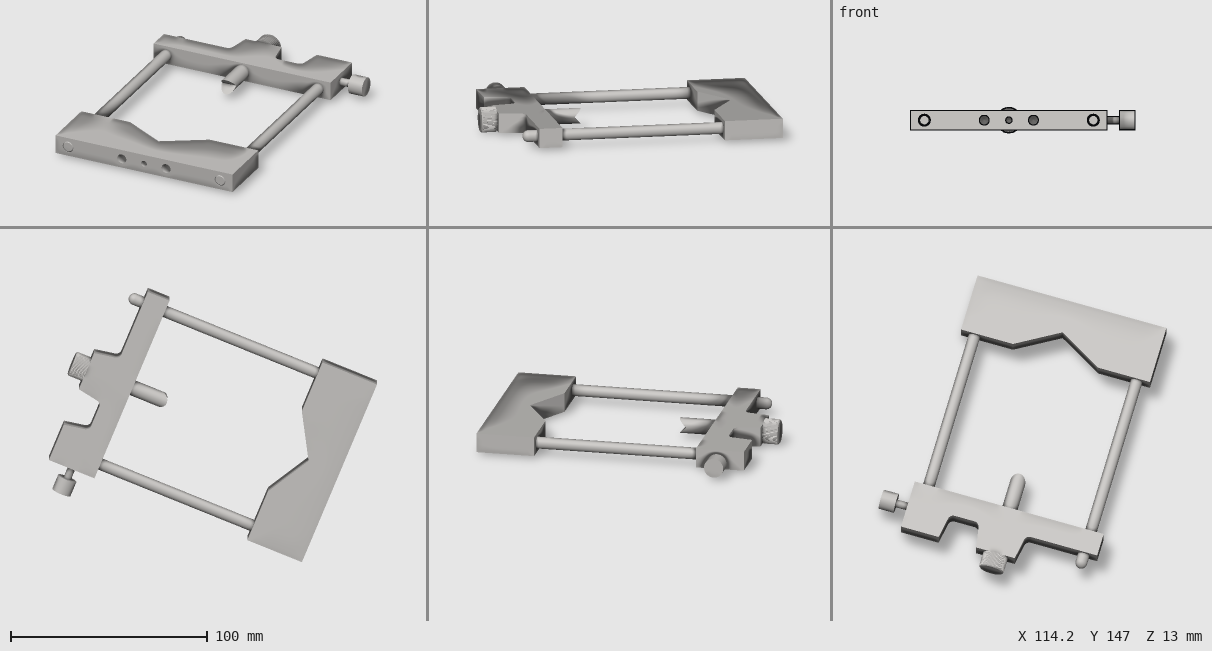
import cadquery as cq
import math

total_length = 147.0
width = 100.0
thickness = 10.0
half_width = width / 2

base_length = 30.0
vee_half_width = 22.5
vee_face_angle = 30.0
vee_depth = vee_half_width * math.tan(math.radians(vee_face_angle))
mount_hole_offset = 12.5
mount_hole_diameter = 5.0
center_hole_diameter = 3.2
base_hole_depth = 10.3
drill_half_angle = 59.0

knob_length = 8.0
knob_diameter = 13.0
knob_chamfer = 0.6
tooth_count = 60
tooth_depth = 0.22
bridge_front = 114.0
bridge_back = total_length - knob_length
bridge_floor = 126.0
boss_half_foot = 12.5
pocket_far_foot = 27.8
wall_angle = 10.0
wall_lean = (bridge_back - bridge_floor) * math.tan(math.radians(wall_angle))
foot_fillet = 3.0

rod_diameter = 6.0
rod_radius = rod_diameter / 2
rod_inset = 7.0
rod_offset = half_width - rod_inset
rod_end = 133.5
rod_chamfer = 0.6

spindle_diameter = 8.0
spindle_radius = spindle_diameter / 2
spindle_tip = 95.0

thumbscrew_y = 126.4
stud_diameter = 4.0
stud_gap = 6.2
head_diameter = 10.0
head_length = 8.0
head_start = half_width + stud_gap


def cylinder_along_y(radius, y_start, y_end, x=0.0):
    """Solid cylinder parallel to Y between two Y positions."""
    return cq.Workplane(
        cq.Solid.makeCylinder(radius, y_end - y_start, cq.Vector(x, y_start, 0), cq.Vector(0, 1, 0))
    )


def cylinder_along_x(radius, x_start, x_end):
    """Solid cylinder parallel to X on the thumbscrew axis."""
    return cq.Workplane(
        cq.Solid.makeCylinder(
            radius, x_end - x_start, cq.Vector(x_start, thumbscrew_y, 0), cq.Vector(1, 0, 0)
        )
    )


def plate(points):
    """Closed XY outline extruded over the full thickness."""
    return cq.Workplane("XY").polyline(points).close().extrude(thickness / 2, both=True)


def drilled_hole(x, diameter):
    """Blind hole in the front face of the base, with a conical drill point."""
    radius = diameter / 2
    point_length = radius / math.tan(math.radians(drill_half_angle))
    point = cq.Solid.makeCone(
        radius, 0, point_length, cq.Vector(x, base_hole_depth, 0), cq.Vector(0, 1, 0)
    )
    return cylinder_along_y(radius, 0, base_hole_depth, x).union(cq.Workplane(point))


def make_rod(x):
    """Guide rod chamfered at the front of the base and domed at the back."""
    dome_center = rod_end - rod_radius
    dome = cq.Workplane("XY").sphere(rod_radius).translate((x, dome_center, 0))
    shaft = cylinder_along_y(rod_radius, 0, dome_center, x).faces("<Y").chamfer(rod_chamfer)
    return shaft.union(dome)


def make_spindle():
    """Clamping spindle with a 90 degree vee groove along X across its tip."""
    groove = (
        cq.Workplane("YZ")
        .polyline(
            [
                (spindle_tip, -spindle_radius),
                (spindle_tip + spindle_radius, 0),
                (spindle_tip, spindle_radius),
            ]
        )
        .close()
        .extrude(spindle_diameter, both=True)
    )
    return cylinder_along_y(spindle_radius, spindle_tip, bridge_back).cut(groove)


def make_knob():
    """Straight-knurled knob with V teeth and a chamfered back rim."""
    tip_radius = knob_diameter / 2
    root_radius = tip_radius - tooth_depth
    points = []
    for step in range(2 * tooth_count):
        radius = tip_radius if step % 2 == 0 else root_radius
        angle = math.pi / 2 + step * math.pi / tooth_count
        points.append((radius * math.cos(angle), radius * math.sin(angle)))
    toothed = (
        cq.Workplane("XZ", origin=(0, bridge_back, 0)).polyline(points).close().extrude(-knob_length)
    )
    envelope = cylinder_along_y(tip_radius, bridge_back, total_length)
    envelope = envelope.faces(">Y").chamfer(knob_chamfer)
    return toothed.intersect(envelope)


def make_base():
    """Vee block bored for the rods, with three blind holes in its front face."""
    base = plate(
        [
            (-half_width, 0),
            (half_width, 0),
            (half_width, base_length),
            (vee_half_width, base_length),
            (0, base_length - vee_depth),
            (-vee_half_width, base_length),
            (-half_width, base_length),
        ]
    )
    base = base.cut(drilled_hole(0, center_hole_diameter))
    for x in (-mount_hole_offset, mount_hole_offset):
        base = base.cut(drilled_hole(x, mount_hole_diameter))
    for x in (-rod_offset, rod_offset):
        base = base.cut(cylinder_along_y(rod_radius, 0, base_length, x))
    return base


def make_bridge(rods, spindle, stud):
    """Cross bar with a central boss and an end block, bored for the parts it carries."""
    boss_half_top = boss_half_foot - wall_lean
    bridge = plate(
        [
            (-half_width, bridge_front),
            (half_width, bridge_front),
            (half_width, bridge_back),
            (pocket_far_foot + wall_lean, bridge_back),
            (pocket_far_foot, bridge_floor),
            (boss_half_foot, bridge_floor),
            (boss_half_top, bridge_back),
            (-boss_half_top, bridge_back),
            (-boss_half_foot, bridge_floor),
            (-half_width, bridge_floor),
        ]
    )
    for x in (-boss_half_foot, boss_half_foot, pocket_far_foot):
        foot = cq.selectors.NearestToPointSelector((x, bridge_floor, 0))
        bridge = bridge.edges("|Z").edges(foot).fillet(foot_fillet)
    for body in (*rods, spindle, stud):
        bridge = bridge.cut(body)
    return bridge


rods = [make_rod(x) for x in (-rod_offset, rod_offset)]
spindle = make_spindle()
knob = make_knob()

stud = cylinder_along_x(stud_diameter / 2, rod_offset + rod_radius, head_start)
head = cylinder_along_x(head_diameter / 2, head_start, head_start + head_length)

base = make_base()
bridge = make_bridge(rods, spindle, stud)

result = cq.Compound.makeCompound(
    [
        base.val(),
        bridge.val(),
        *[rod.val() for rod in rods],
        spindle.val(),
        knob.val(),
        stud.val(),
        head.val(),
    ]
)